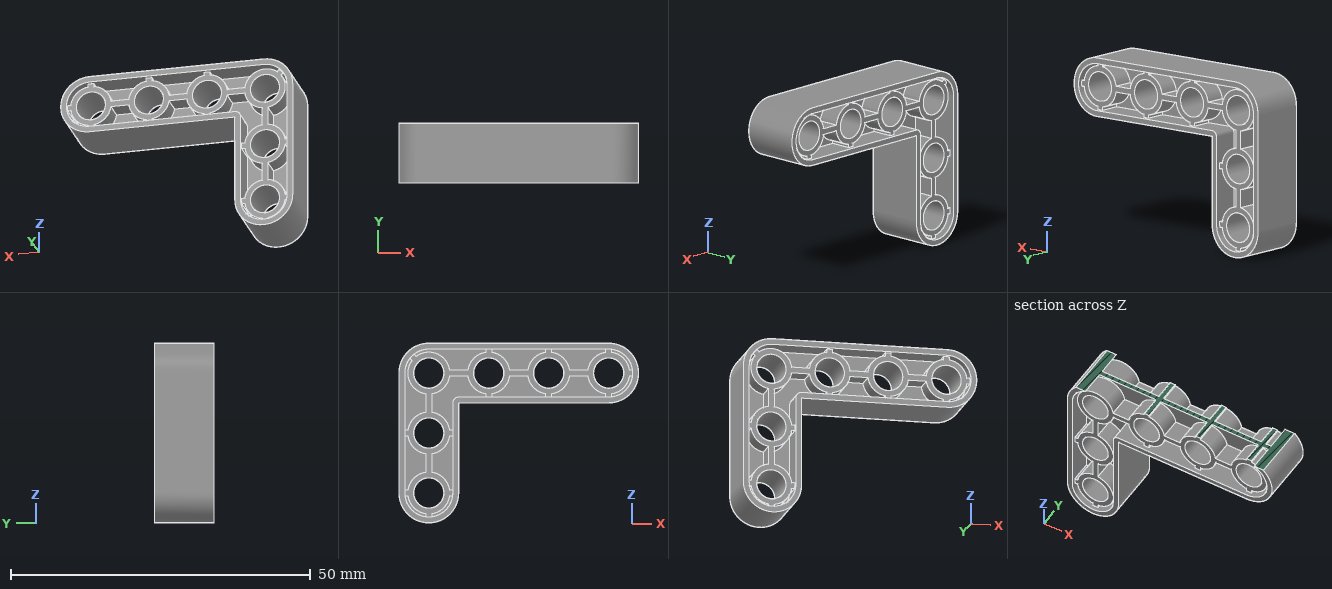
import cadquery as cq
import math

pitch = 10.0
depth = 10.0
holes_across = 4
holes_down = 3
wall = 1.0
rib = 1.0
hole_diameter = 5.0
tube_diameter = 7.0
tube_recess = 0.8
web = 1.0

end_radius = pitch / 2
reach_x = (holes_across - 1) * pitch
reach_z = (holes_down - 1) * pitch
tube_length = depth - 2 * tube_recess
tab_reach = end_radius - wall / 2

across_centres = [(i * pitch, 0) for i in range(holes_across)]
down_centres = [(0, -i * pitch) for i in range(1, holes_down)]
hole_centres = across_centres + down_centres


def l_outline():
    """L with round arm ends, a round outer corner and a sharp inner corner."""
    diagonal = end_radius * math.sqrt(0.5)
    return (
        cq.Workplane("XZ")
        .moveTo(0, end_radius)
        .lineTo(reach_x, end_radius)
        .threePointArc((reach_x + end_radius, 0), (reach_x, -end_radius))
        .lineTo(end_radius, -end_radius)
        .lineTo(end_radius, -reach_z)
        .threePointArc((0, -reach_z - end_radius), (-end_radius, -reach_z))
        .lineTo(-end_radius, 0)
        .threePointArc((-diagonal, diagonal), (0, end_radius))
        .close()
    )


def cylinders(diameter, length):
    """One cylinder along Y at every hole centre, centred on the XZ plane."""
    return (
        cq.Workplane("XZ")
        .pushPoints(hole_centres)
        .circle(diameter / 2)
        .extrude(length / 2, both=True)
    )


def bar(centre, angle, length):
    """Strip as deep as the tubes, leaving a hole centre at an angle from +X towards +Z."""
    x, z = centre
    return (
        cq.Workplane("XY")
        .box(length, tube_length, rib, centered=(False, True, True))
        .rotate((0, 0, 0), (0, 1, 0), -angle)
        .translate((x, 0, z))
    )


outer = l_outline().extrude(depth / 2, both=True)
cavity = l_outline().offset2D(-wall).extrude(depth / 2, both=True)
middle_web = l_outline().extrude(web / 2, both=True)
body = outer.cut(cavity).union(middle_web)

body = body.union(cylinders(tube_diameter, tube_length))

body = body.union(bar((0, 0), 0, reach_x + tab_reach))
body = body.union(bar((0, 0), -90, reach_z + tab_reach))

for tube_centre in across_centres[1:]:
    for tab_angle in (90, -90):
        body = body.union(bar(tube_centre, tab_angle, tab_reach))
for tube_centre in down_centres:
    for tab_angle in (0, 180):
        body = body.union(bar(tube_centre, tab_angle, tab_reach))

body = body.union(bar((0, 0), 135, tab_reach))

result = body.cut(cylinders(hole_diameter, depth))